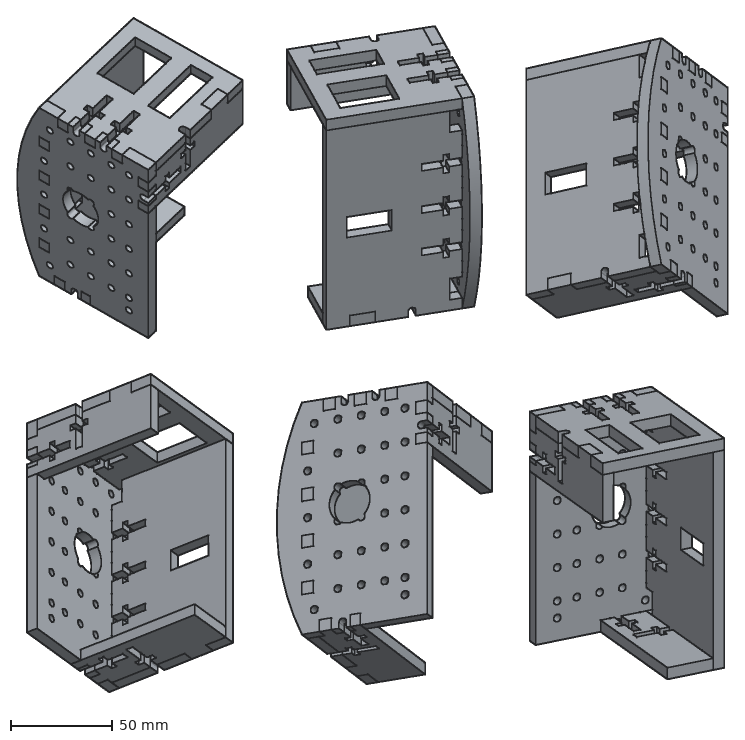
import cadquery as cq

height = 122.6
depth = 76.2
width = 68.3
bulge = 13.7
thickness = 6.3

tab_length = 6.5
screw_diameter = 3.9
slot_width = 3.9
slot_end = 27.0
nut_start = 12.9
nut_thickness = 3.1
nut_length = 10.7

left_joint_pitch = 24.6
left_tab_heights = [height / 2 + left_joint_pitch * n for n in (-1.5, -0.5, 0.5, 1.5)]
left_screw_heights = [height / 2 + left_joint_pitch * n for n in (-1, 0, 1)]

top_joint_pitch = 16.9
first_top_tab = 14.8
top_tab_places = [first_top_tab + top_joint_pitch * n for n in (0, 1, 2)]
top_screw_places = [first_top_tab + top_joint_pitch * n for n in (0.5, 1.5)]

short_reach = 31.9
short_tab_start = 9.5
short_last_tab_start = 26.5
short_screw_place = 22.2
short_slot_end = 26.4
short_nut_start = 14.0
side_nut_start = 11.4
side_tab_near = 51.0
side_tab_far = 64.1
side_screw_depth = 32.0

lens_diameter = 22.1
grid_x_pitch = 12.7
grid_z_pitch = 17.9
first_grid_x = 19.6
first_grid_z = 21.2
grid_columns = [first_grid_x + grid_x_pitch * n for n in range(3)]
grid_rows = [first_grid_z + grid_z_pitch * n for n in range(6)]
right_column_x = 56.1
corner_hole_x = 6.7
corner_hole_z = 12.1
corner_notch_height = 12.4
side_window_near = 42.4
side_window_far = 65.6
side_window_bottom = 52.0
side_window_top = 63.9
top_left_window = (8.6, 31.3, 36.0, 66.4)
top_right_window = (41.8, 55.3, 34.1, 68.6)


def block(x0, x1, y0, y1, z0, z1):
    """Box between two opposite corners."""
    return cq.Workplane("XY").box(x1 - x0, y1 - y0, z1 - z0, centered=False).translate((x0, y0, z0))


def t_slot(end, pocket_start):
    """T-slot cutter centred on the X axis, running from x = 0 to `end`, through one sheet thickness."""
    half_slot = slot_width / 2
    half_nut = nut_length / 2
    slot = block(0, end, -half_slot, half_slot, 0, thickness)
    pocket = block(pocket_start, pocket_start + nut_thickness, -half_nut, half_nut, 0, thickness)
    return slot.union(pocket)


def screw_along_y(x, z):
    """Screw hole cutter through the face plate."""
    radius = screw_diameter / 2
    return cq.Workplane("XZ").center(x, z).circle(radius).extrude(-thickness)


def edge_notch():
    """Round-ended screw notch cutter along Y at X = 0, open at the lower edge of an upright panel."""
    middle = thickness / 2
    radius = screw_diameter / 2
    return screw_along_y(0, middle).union(block(-radius, radius, 0, thickness, 0, middle))


def short_panel():
    """Panel lying on Z = 0; it plugs into a neighbour at X = 0 and into the face plate at Y = 0."""
    panel = block(thickness, short_reach, thickness, depth, 0, thickness)
    panel = panel.union(block(0, thickness, side_tab_near, side_tab_far, 0, thickness))
    for start in (short_tab_start, short_last_tab_start):
        end = min(start + tab_length, short_reach)
        panel = panel.union(block(start, end, 0, thickness, 0, thickness))
    front_slot = t_slot(short_slot_end, short_nut_start).rotate((0, 0, 0), (0, 0, 1), 90)
    panel = panel.cut(front_slot.translate((short_screw_place, 0, 0)))
    side_slot = t_slot(short_slot_end, side_nut_start)
    return panel.cut(side_slot.translate((0, side_screw_depth, 0)))


def stand_on_right(shape):
    """Flip a shape from the bottom left corner of the box to its top right corner.

    The bottom face becomes the right face and the left face becomes the top face.
    """
    return shape.mirror(cq.Vector(1, 0, 1)).translate((width, 0, height))


def side_screw_notch():
    """Notch for the side screw of the bottom panel, running through the left panel."""
    return edge_notch().rotate((0, 0, 0), (0, 0, 1), -90).translate((0, side_screw_depth, 0))


bottom_panel = short_panel()
right_panel = stand_on_right(short_panel())


def make_left_panel():
    top = height - thickness
    panel = block(0, thickness, thickness, depth, 0, top)
    for z in left_tab_heights:
        panel = panel.union(block(0, thickness, 0, thickness, z - tab_length / 2, z + tab_length / 2))
    upright_slot = t_slot(slot_end, nut_start).rotate((0, 0, 0), (1, 0, 0), 90)
    upright_slot = upright_slot.rotate((0, 0, 0), (0, 0, 1), 90)
    for z in left_screw_heights:
        panel = panel.cut(upright_slot.translate((0, 0, z)))
    for z in (thickness, top - corner_notch_height):
        notch = block(0, thickness, thickness, 2 * thickness, z, z + corner_notch_height)
        panel = panel.cut(notch)
    window = block(
        0,
        thickness,
        side_window_near,
        side_window_far,
        side_window_bottom,
        side_window_top,
    )
    return panel.cut(window).cut(side_screw_notch()).cut(bottom_panel)


left_panel = make_left_panel()


def make_top_panel():
    bottom = height - thickness
    panel = block(0, width, thickness, depth, bottom, height)
    for x in top_tab_places:
        panel = panel.union(block(x - tab_length / 2, x + tab_length / 2, 0, thickness, bottom, height))
    front_slot = t_slot(slot_end, nut_start).rotate((0, 0, 0), (0, 0, 1), 90)
    for x in top_screw_places:
        panel = panel.cut(front_slot.translate((x, 0, bottom)))
    for x0, x1, y0, y1 in (top_left_window, top_right_window):
        panel = panel.cut(block(x0, x1, y0, y1, bottom, height))
    return panel.cut(stand_on_right(side_screw_notch())).cut(right_panel)


top_panel = make_top_panel()


def make_face_plate():
    plate = (
        cq.Workplane("XZ")
        .lineTo(width, 0)
        .lineTo(width, height)
        .lineTo(0, height)
        .threePointArc((-bulge, height / 2), (0, 0))
        .close()
        .extrude(-thickness)
    )

    for z in left_screw_heights:
        plate = plate.cut(screw_along_y(thickness / 2, z))

    top_notch = edge_notch().mirror("XY").translate((0, 0, height))
    for x in top_screw_places:
        plate = plate.cut(top_notch.translate((x, 0, 0)))
    short_notch = edge_notch().translate((short_screw_place, 0, 0))
    plate = plate.cut(short_notch).cut(stand_on_right(short_notch))

    for z in grid_rows:
        for x in grid_columns + [right_column_x]:
            plate = plate.cut(screw_along_y(x, z))
    top_corner_z = height - corner_hole_z
    for x, z in (
        (corner_hole_x, corner_hole_z),
        (corner_hole_x, top_corner_z),
        (right_column_x, corner_hole_z),
    ):
        plate = plate.cut(screw_along_y(x, z))

    lens_x = first_grid_x + grid_x_pitch / 2
    lens_z = first_grid_z + grid_z_pitch * 2.5
    lens = cq.Workplane("XZ").center(lens_x, lens_z).circle(lens_diameter / 2).extrude(-thickness)
    plate = plate.cut(lens)

    for panel in (left_panel, top_panel, bottom_panel, right_panel):
        plate = plate.cut(panel)
    return plate


face_plate = make_face_plate()

result = cq.Compound.makeCompound(
    [
        face_plate.val(),
        top_panel.val(),
        left_panel.val(),
        bottom_panel.val(),
        right_panel.val(),
    ]
)